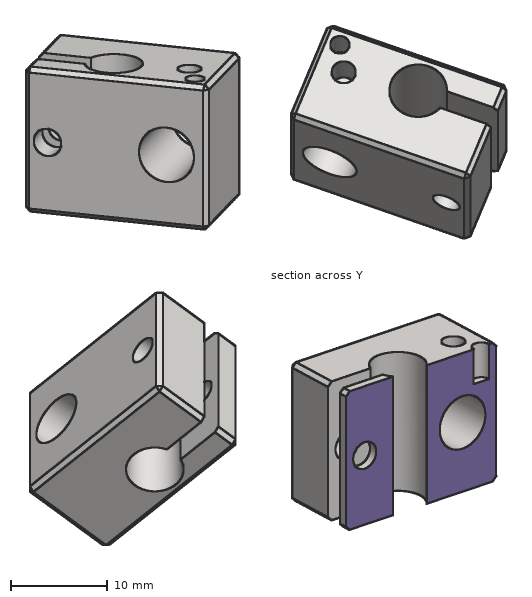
import cadquery as cq

LENGTH = 20.0
WIDTH = 11.5
HEIGHT = 16.0
EDGE_CHAMFER = 0.5

LEFT = -LENGTH / 2
FRONT = -WIDTH / 2

CLAMP_BORE_DIAMETER = 6.0
CLAMP_BORE_X = LEFT + 8.5
CLAMP_BORE_Y = FRONT + 4.0
SLOT_WIDTH = 2.0

SCREW_HOLE_DIAMETER = 3.0
SCREW_HOLE_X = LEFT + 2.5
CROSS_BORE_DIAMETER = 6.0
CROSS_BORE_X = LEFT + 15.5

BLIND_HOLES = [
    (2.5, LEFT + 16.5, FRONT + 4.8),
    (2.0, LEFT + 18.0, FRONT + 2.0),
]
BLIND_HOLE_DEPTH = 4.0


def make_block():
    """Rectangular block with every edge chamfered."""
    return cq.Workplane("XY").box(LENGTH, WIDTH, HEIGHT).edges().chamfer(EDGE_CHAMFER)


def vertical_hole(diameter, x, y, depth):
    """Cutter that drops from the top face by the given depth."""
    return (
        cq.Workplane("XY", origin=(x, y, HEIGHT / 2))
        .circle(diameter / 2)
        .extrude(-depth)
    )


def cross_hole(diameter, x):
    """Cutter that runs through the full width at mid height."""
    return (
        cq.Workplane("XZ", origin=(x, 0, 0))
        .circle(diameter / 2)
        .extrude(WIDTH / 2, both=True)
    )


def clamp_slot():
    """Full-height cutter from the -X face to the clamp bore axis."""
    slot_length = CLAMP_BORE_X - LEFT
    return (
        cq.Workplane("XY")
        .box(slot_length, SLOT_WIDTH, HEIGHT)
        .translate((LEFT + slot_length / 2, CLAMP_BORE_Y, 0))
    )


result = (
    make_block()
    .cut(vertical_hole(CLAMP_BORE_DIAMETER, CLAMP_BORE_X, CLAMP_BORE_Y, HEIGHT))
    .cut(clamp_slot())
    .cut(cross_hole(SCREW_HOLE_DIAMETER, SCREW_HOLE_X))
    .cut(cross_hole(CROSS_BORE_DIAMETER, CROSS_BORE_X))
)
for hole_diameter, hole_x, hole_y in BLIND_HOLES:
    result = result.cut(vertical_hole(hole_diameter, hole_x, hole_y, BLIND_HOLE_DEPTH))